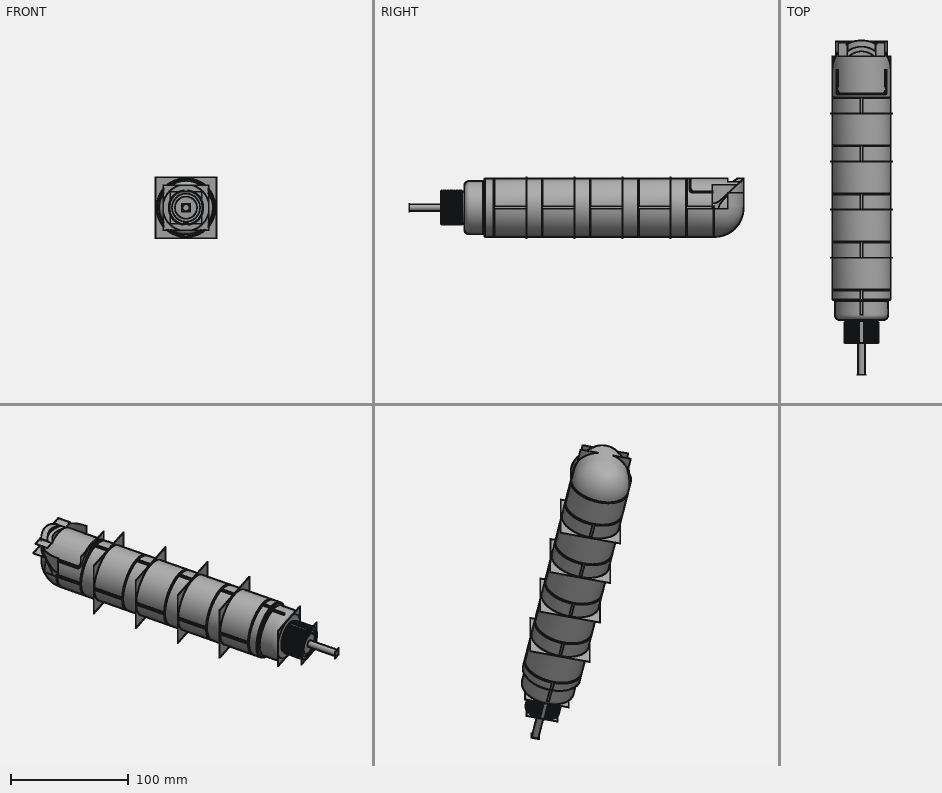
import cadquery as cq
import math


total_length = 283.8
barrel_radius = 25.0
barrel_start = 63.5
head_center = total_length - barrel_radius

cable_radius = 2.98
cable_length = 27.0
cable_tip_side = 6.8

stub_radius = 14.8
stub_end = 46.5
thread_pitch = 1.5
thread_depth = 0.9
neck_length = 1.0
keyway_width = 3.7
keyway_depth = 1.5
stub_groove_inner = 9.5
stub_groove_outer = 12.0
stub_groove_depth = 1.0

collar_radius = 22.7
collar_fillet = 4.5
collar_gap_width = 1.0
collar_gap_depth = 1.0
barrel_chamfer = 0.9

sheet = 0.3
segment_flange_side = 52.0
collar_flange_side = 38.3
stub_flange_side = 27.0

segment_count = 4
segment_pitch = 40.75
first_flange = 99.3
wide_band = 27.2
narrow_band = segment_pitch - wide_band
seam_width = 1.0
seam_depth = 0.43
slit_width = 2.0
slit_depth = 0.5

panel_front = 237.8
panel_rear = 270.2
panel_bottom = 12.8
panel_corner = 2.3
panel_gap = 1.0
panel_gap_depth = 0.9
ledge_height = 22.0
rim_inner_radius = 19.5
bore_radius = 15.5
lower_plate_half_width = 21.9
lower_plate_end = 283.0
upper_plate_half_width = 20.0
upper_plate_end = 281.8
sleeve_bottom = -0.9
cheek_front = 257.1
cheek_height = 19.5

flange_places = [first_flange + i * segment_pitch for i in range(segment_count)]
seam_places = [first_flange - wide_band + i * segment_pitch for i in range(segment_count + 1)]
head_seam = seam_places[-1]

clearance = 2.8


def rod(radius, start, end):
    """Round bar along Y."""
    return cq.Workplane("XZ", origin=(0, start, 0)).circle(radius).extrude(start - end)


def ring(outer, inner, start, end):
    """Tube along Y."""
    return rod(outer, start, end).cut(rod(inner, start, end))


def block(x_range, y_range, z_range):
    """Axis-aligned box given by its limits."""
    lows, highs = zip(x_range, y_range, z_range)
    sizes = [high - low for low, high in zip(lows, highs)]
    return cq.Workplane("XY").box(*sizes, centered=False).translate(lows)


def centered_block(width, start, end, height):
    """Box along Y, centred on the axis."""
    return block((-width / 2, width / 2), (start, end), (-height / 2, height / 2))


def upright_cylinder(radius, bottom, top):
    """Round bar along Z, centred on the head."""
    return cq.Workplane("XY", origin=(0, head_center, bottom)).circle(radius).extrude(top - bottom)


def groove_cutter(radius, depth, start, end):
    """Tube that cuts to the given depth below a round surface and reaches clear of it."""
    return ring(radius + clearance, radius - depth, start, end)


def square_flange(side, start):
    return centered_block(side, start, start + sheet, side)


def make_head():
    """Quarter ball below the axis; above it, the barrel trimmed by an upright cylinder."""
    ball = cq.Workplane("XY").sphere(barrel_radius).translate((0, head_center, 0))
    upper = rod(barrel_radius, head_center, total_length).intersect(
        upright_cylinder(barrel_radius, 0, barrel_radius)
    )
    lower = ball.intersect(
        block((-barrel_radius, barrel_radius), (head_center, total_length), (-barrel_radius, 0))
    )
    return upper.union(lower)


def make_head_sheets():
    """Thin walls standing proud of the head: round cheeks, a barrel sleeve and three flat plates."""
    cheeks = upright_cylinder(barrel_radius, 0, cheek_height)
    cheeks = cheeks.cut(upright_cylinder(barrel_radius - sheet, 0, cheek_height))
    cheeks = cheeks.intersect(
        block((-barrel_radius, barrel_radius), (cheek_front, total_length), (0, cheek_height))
    )
    sleeve_width = barrel_radius + clearance
    sleeve = ring(barrel_radius, barrel_radius - sheet, head_center, panel_rear).intersect(
        block(
            (-sleeve_width, sleeve_width),
            (head_center, panel_rear),
            (sleeve_bottom, barrel_radius + clearance),
        )
    )
    lower_plate = block(
        (-lower_plate_half_width, lower_plate_half_width),
        (panel_rear, lower_plate_end),
        (panel_bottom - sheet, panel_bottom),
    )
    upper_plate = block(
        (-upper_plate_half_width, upper_plate_half_width),
        (panel_rear, upper_plate_end),
        (ledge_height - sheet, ledge_height),
    )
    front_plate = block(
        (-upper_plate_half_width, upper_plate_half_width),
        (panel_front - sheet, panel_front),
        (panel_bottom, barrel_radius),
    )
    return cheeks, sleeve, lower_plate, upper_plate, front_plate


def head_opening():
    """Round recess behind the cover panel: a ledge inside the rim and a deeper bore."""
    behind_panel = block(
        (-barrel_radius, barrel_radius),
        (panel_rear, total_length),
        (panel_bottom, barrel_radius),
    )
    recess = upright_cylinder(rim_inner_radius, ledge_height, barrel_radius)
    bore = upright_cylinder(bore_radius, panel_bottom, barrel_radius)
    return recess.union(bore).intersect(behind_panel)


def panel_outline(inset):
    """Cover panel outline seen along X, with a rounded lower front corner."""
    half_width = barrel_radius + clearance
    panel = block(
        (-half_width, half_width),
        (panel_front + inset, total_length),
        (panel_bottom + inset, barrel_radius + clearance),
    )
    return panel.edges("|X and <Y and <Z").fillet(panel_corner)


def panel_groove():
    """Narrow groove in the barrel skin around the cover panel."""
    skin = groove_cutter(barrel_radius, panel_gap_depth, panel_front, head_center)
    return panel_outline(0).cut(panel_outline(panel_gap)).intersect(skin)


def band_slits(radius, start, end, upright):
    """Pair of shallow axial slits on opposite sides: top and bottom, or left and right."""
    skin = groove_cutter(radius, slit_depth, start, end)
    if upright:
        return skin.intersect(centered_block(slit_width, start, end, 2 * (radius + clearance)))
    return skin.intersect(centered_block(2 * (radius + clearance), start, end, slit_width))


def seam(middle):
    """Shallow groove around the barrel."""
    return groove_cutter(barrel_radius, seam_depth, middle - seam_width / 2, middle + seam_width / 2)


def make_collar():
    collar = rod(collar_radius, stub_end, barrel_start)
    collar = collar.faces("<Y").edges().fillet(collar_fillet)
    gap = groove_cutter(
        collar_radius, collar_gap_depth, barrel_start - collar_gap_width, barrel_start
    )
    slits = band_slits(collar_radius, stub_end + collar_fillet, barrel_start, True)
    return collar.cut(gap).cut(slits)


def make_stub():
    """Threaded stub with ring-shaped teeth, a smooth neck, two keyways and a grooved end face."""
    root = stub_radius - thread_depth
    thread_end = stub_end - neck_length
    tooth_count = math.floor((thread_end - cable_length) / thread_pitch)
    points = [(0, cable_length), (root, cable_length)]
    for i in range(tooth_count):
        tooth_start = cable_length + i * thread_pitch
        points.append((stub_radius, tooth_start + thread_pitch / 2))
        points.append((root, tooth_start + thread_pitch))
    points += [(root, stub_end), (0, stub_end)]
    stub = cq.Workplane("XY").polyline(points).close().revolve(360, (0, 0, 0), (0, 1, 0))

    flat = stub_radius - keyway_depth
    for side in (-1, 1):
        z_limits = sorted((side * flat, side * stub_radius))
        stub = stub.cut(
            block((-keyway_width / 2, keyway_width / 2), (cable_length, thread_end), z_limits)
        )
    end_groove = ring(
        stub_groove_outer, stub_groove_inner, cable_length, cable_length + stub_groove_depth
    )
    stub = stub.union(square_flange(stub_flange_side, cable_length))
    return stub.cut(end_groove)


def make_housing():
    barrel = rod(barrel_radius, barrel_start, head_center)
    barrel = barrel.faces("<Y").edges().chamfer(barrel_chamfer)
    body = barrel.union(make_head())

    for place in seam_places:
        body = body.cut(seam(place))
    lower_half = block(
        (-barrel_radius, barrel_radius), (barrel_start, total_length), (-barrel_radius, 0)
    )
    body = body.cut(seam(head_center - seam_width / 2).intersect(lower_half))

    for place in flange_places:
        body = body.cut(band_slits(barrel_radius, place - wide_band, place, False))
        body = body.cut(band_slits(barrel_radius, place, place + narrow_band, True))
    body = body.cut(band_slits(barrel_radius, head_seam, head_center, False))
    body = body.cut(band_slits(barrel_radius, barrel_start, seam_places[0], True))

    body = body.cut(panel_groove())
    for head_sheet in make_head_sheets():
        body = body.union(head_sheet)
    body = body.cut(head_opening())
    body = body.union(make_collar()).union(make_stub())
    for place in flange_places:
        body = body.union(square_flange(segment_flange_side, place))
    return body.union(square_flange(collar_flange_side, stub_end))


def make_cable():
    """Round cable butting against the stub, with a thin square plate at its free end."""
    return rod(cable_radius, 0, cable_length).union(square_flange(cable_tip_side, 0))


housing = make_housing()
cable = make_cable()
result = cq.Compound.makeCompound([housing.solids().val(), cable.solids().val()])